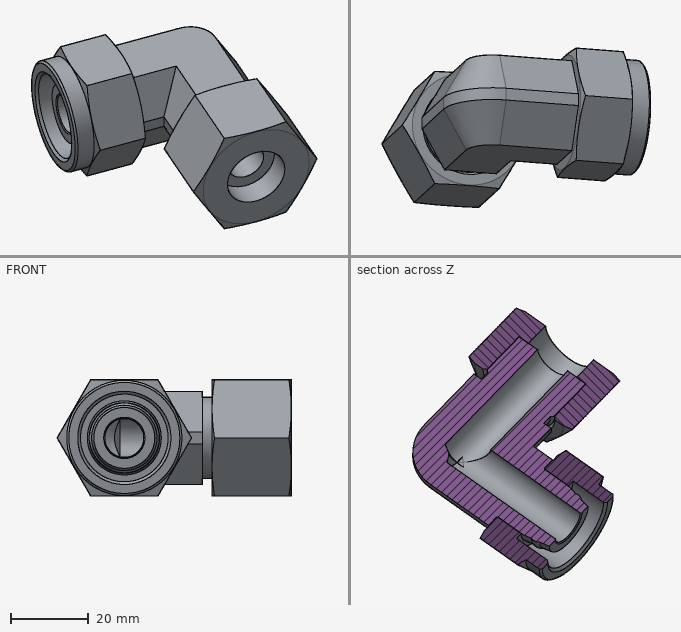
import cadquery as cq
import math


overall_length = 60.3
overall_width = 55.7

across_flats = 30.0
corner_radius = across_flats / 2 / math.cos(math.radians(30))
chamfer_circle_radius = 14.85
hex_chamfer_angle = 15

thread_radius = 12.0
core_radius = 11.3
mouth_chamfer = thread_radius - core_radius
bore_radius = 5.0
drill_depth_past_center = 1.1
drill_tip_half_angle = 60

body_half_width = 12.95
body_half_height = 12.0
side_flat_half_height = 1.55
flank_angle = 60
flank_width = (body_half_height - side_flat_half_height) / math.tan(math.radians(flank_angle))
top_flat_half_width = body_half_width - flank_width

spigot_shoulder = 20.1
neck_radius = 10.5
union_nut_start = 22.55
union_nut_end = overall_length - corner_radius
spigot_end = 36.2
tube_hole_radius = 8.0

swivel_nut_start = 19.35
swivel_hex_end = 33.3
swivel_nut_end = overall_width - corner_radius
collar_radius = 14.85
collar_chamfer = 0.55
nose_recess = 3
nose_face = swivel_nut_end - nose_recess
nose_face_radius = 7.85
nose_cone_angle = 12
shank_radius = 9.55
nose_cone_length = (shank_radius - nose_face_radius) / math.tan(math.radians(nose_cone_angle))
swivel_ledge = nose_face - nose_cone_length
bead_offset = 2.7
bead_width = 2.35
bead_height = 0.35
nose_bore_chamfer = 0.3


def turned(points):
    """Solid of revolution about X from a closed outline of (axial position, radius) points."""
    return cq.Workplane("XY").polyline(points).close().revolve(360, (0, 0, 0), (1, 0, 0))


def rod(start, end, radius):
    """Plain cylinder along X."""
    return cq.Workplane("YZ").workplane(offset=start).circle(radius).extrude(end - start)


def onto_second_leg(body):
    """Turn a feature built along +X so that it runs along -Y."""
    return body.rotate((0, 0, 0), (0, 0, 1), -90)


def hexagon(start, end):
    """Hexagonal bar with corners on Y and both ends turned to a shallow cone."""
    bar = (
        cq.Workplane("YZ").workplane(offset=start)
        .polygon(6, 2 * corner_radius).extrude(end - start)
    )
    setback = (corner_radius - chamfer_circle_radius) * math.tan(math.radians(hex_chamfer_angle))
    envelope = turned([
        (start, 0),
        (start, chamfer_circle_radius),
        (start + setback, corner_radius),
        (end - setback, corner_radius),
        (end, chamfer_circle_radius),
        (end, 0),
    ])
    return bar.intersect(envelope)


def body_leg(length):
    """Straight eight-sided leg."""
    return (
        cq.Workplane("YZ")
        .polyline([
            (body_half_width, side_flat_half_height),
            (top_flat_half_width, body_half_height),
            (-top_flat_half_width, body_half_height),
            (-body_half_width, side_flat_half_height),
            (-body_half_width, -side_flat_half_height),
            (-top_flat_half_width, -body_half_height),
            (top_flat_half_width, -body_half_height),
            (body_half_width, -side_flat_half_height),
        ])
        .close().extrude(length)
    )


def body_corner():
    """Rounded outer corner: half of the leg section swept a quarter turn about Z."""
    return (
        cq.Workplane("XZ")
        .polyline([
            (0, body_half_height),
            (-top_flat_half_width, body_half_height),
            (-body_half_width, side_flat_half_height),
            (-body_half_width, -side_flat_half_height),
            (-top_flat_half_width, -body_half_height),
            (0, -body_half_height),
        ])
        .close().revolve(90, (0, 0, 0), (0, -1, 0))
    )


def threaded_spigot():
    """Relieved neck followed by the threaded length, drawn at the nut's bore size."""
    relief_rise = core_radius - neck_radius
    return turned([
        (0, 0),
        (0, neck_radius),
        (union_nut_start, neck_radius),
        (union_nut_start + relief_rise, core_radius),
        (spigot_end, core_radius),
        (spigot_end, 0),
    ])


def sealing_nose():
    """Shank ending in a cone with a rounded sealing bead around it."""
    slope = math.radians(nose_cone_angle)

    def beside_cone(distance_along, height):
        axial = nose_face - bead_offset - distance_along * math.cos(slope) + height * math.sin(slope)
        radius = (
            nose_face_radius + bead_offset * math.tan(slope)
            + distance_along * math.sin(slope) + height * math.cos(slope)
        )
        return axial, radius

    return (
        cq.Workplane("XY")
        .moveTo(0, 0)
        .lineTo(nose_face, 0)
        .lineTo(nose_face, nose_face_radius)
        .lineTo(*beside_cone(0, 0))
        .threePointArc(beside_cone(bead_width / 2, bead_height), beside_cone(bead_width, 0))
        .lineTo(swivel_ledge, shank_radius)
        .lineTo(0, shank_radius)
        .close().revolve(360, (0, 0, 0), (1, 0, 0))
    )


def drilled_bore(end):
    """Drilled hole with a conical tip just past the centre of the elbow."""
    tip_length = bore_radius / math.tan(math.radians(drill_tip_half_angle))
    return turned([
        (-drill_depth_past_center - tip_length, 0),
        (-drill_depth_past_center, bore_radius),
        (end, bore_radius),
        (end, 0),
    ])


def nose_bore_mouth():
    """Small chamfer where the bore opens through the face of the nose."""
    return turned([
        (nose_face - nose_bore_chamfer, 0),
        (nose_face - nose_bore_chamfer, bore_radius),
        (nose_face, bore_radius + nose_bore_chamfer),
        (nose_face, 0),
    ])


def make_elbow():
    solid = body_leg(spigot_shoulder).union(onto_second_leg(body_leg(swivel_nut_start)))
    solid = solid.union(body_corner())
    solid = solid.union(threaded_spigot()).union(onto_second_leg(sealing_nose()))
    solid = solid.cut(drilled_bore(spigot_end)).cut(onto_second_leg(drilled_bore(nose_face)))
    return solid.cut(onto_second_leg(nose_bore_mouth()))


def make_union_nut():
    """Nut on the threaded spigot, closed at its outer end to a tube hole."""
    opening = turned([
        (union_nut_start, 0),
        (union_nut_start, thread_radius),
        (union_nut_start + mouth_chamfer, core_radius),
        (spigot_end, core_radius),
        (spigot_end, tube_hole_radius),
        (union_nut_end, tube_hole_radius),
        (union_nut_end, 0),
    ])
    return hexagon(union_nut_start, union_nut_end).cut(opening)


def make_swivel_nut():
    """Nut around the sealing nose: hexagon, round collar and a bore that stops at a ledge."""
    collar = rod(swivel_hex_end, swivel_nut_end, collar_radius).faces(">X").chamfer(collar_chamfer)
    opening = turned([
        (swivel_nut_start, 0),
        (swivel_nut_start, shank_radius),
        (swivel_ledge, shank_radius),
        (swivel_ledge, core_radius),
        (swivel_nut_end - mouth_chamfer, core_radius),
        (swivel_nut_end, thread_radius),
        (swivel_nut_end, 0),
    ])
    return onto_second_leg(hexagon(swivel_nut_start, swivel_hex_end).union(collar).cut(opening))


elbow = make_elbow()
union_nut = make_union_nut()
swivel_nut = make_swivel_nut()

result = cq.Compound.makeCompound([elbow.val(), union_nut.val(), swivel_nut.val()])